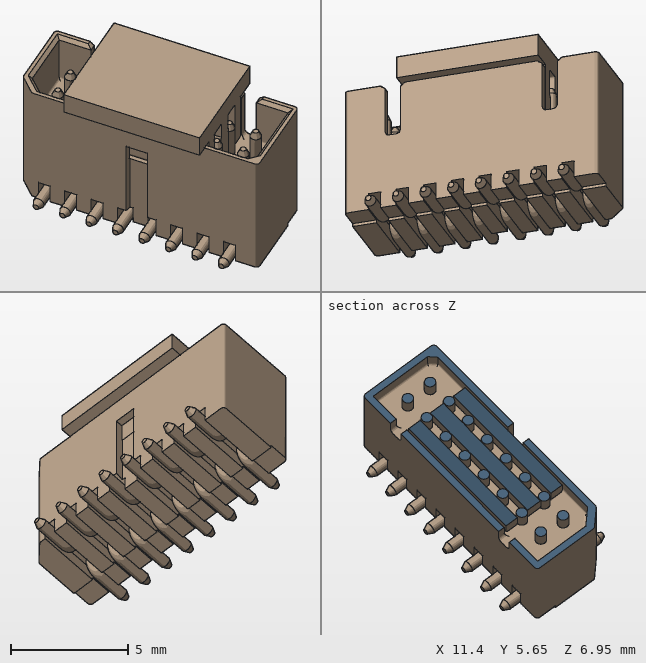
import cadquery as cq
import math

housing_length = 11.45
housing_depth = 4.01
housing_height = 5.95
total_height = 6.95
floor_height = 3.55

polarity_chamfer = 0.78
corner_radius = 0.17

wall = 0.33
lead_in = 0.16
cavity_left_chamfer = 0.66
cavity_right_chamfer = 0.31
cavity_floor_radius = 0.14

key_offset = 3.55
key_width = 0.69
key_lead_in = 0.21
key_floor_radius = 0.21

window_width = 1.0
window_height = 4.59
window_depth = 0.37

underside_step_depth = 1.03
underside_step_height = 0.14

pin_columns = 8
pin_pitch = 1.25
pin_diameter = 0.5
pin_tip_diameter = 0.25
pin_tip_length = 0.27
pin_top = 5.21
pin_span = 5.65
pin_bend_radius = 0.5

tunnel_width = 0.55
tunnel_roof = 0.68
tunnel_mouth_height = 0.89
tunnel_mouth_depth = 0.78

cap_length = 6.4
cap_width = 5.02
cap_block_width = 3.17
cap_block_bottom = 3.66
cap_bottom_radius = 0.15

channel_roof = housing_height
channel_roof_radius = 0.1
channel_inner = 0.32
channel_outer = 1.03
grip_inner = 0.37
grip_outer = 0.93
inner_shoulder = 5.08
inner_shoulder_radius = 0.11
outer_shoulder = 4.7

half_length = housing_length / 2
half_depth = housing_depth / 2
pin_radius = pin_diameter / 2
pin_tip_radius = pin_tip_diameter / 2
row_offset = pin_pitch / 2
pin_columns_x = [pin_pitch * (i - (pin_columns - 1) / 2) for i in range(pin_columns)]


def chamfered_outline(inset, left_chamfer, right_chamfer):
    """Points of the housing rectangle set inwards, with its two -Y corners cut at 45 degrees."""
    x = half_length - inset
    y = half_depth - inset
    points = [(-x, y), (-x, -y + left_chamfer), (-x + left_chamfer, -y)]
    if right_chamfer > 0:
        points += [(x - right_chamfer, -y), (x, -y + right_chamfer)]
    else:
        points += [(x, -y)]
    return points + [(x, y)]


def make_outer_block():
    outline = chamfered_outline(0, polarity_chamfer, 0)
    block = cq.Workplane("XY").polyline(outline).close().extrude(housing_height)
    return block.edges("|Z").fillet(corner_radius)


def make_cavity():
    """Cavity with a rounded floor edge and a 45 degree lead-in at the rim."""
    outline = chamfered_outline(wall, cavity_left_chamfer, cavity_right_chamfer)
    cavity = (
        cq.Workplane("XY", origin=(0, 0, floor_height))
        .polyline(outline)
        .close()
        .extrude(housing_height - floor_height)
        .faces("<Z")
        .edges()
        .fillet(cavity_floor_radius)
    )
    chamfer_growth = lead_in * (2 - math.sqrt(2))
    rim_outline = chamfered_outline(
        wall - lead_in,
        cavity_left_chamfer + chamfer_growth,
        cavity_right_chamfer + chamfer_growth,
    )
    funnel = (
        cq.Workplane("XY", origin=(0, 0, housing_height - lead_in))
        .polyline(outline)
        .close()
        .workplane(offset=lead_in)
        .polyline(rim_outline)
        .close()
        .loft(ruled=True)
    )
    return cavity.union(funnel)


def make_key_notch(center_x):
    """Notch through the +Y wall, flared at the rim and rounded at the floor."""
    half_width = key_width / 2
    flare = half_width + key_lead_in
    profile = [
        (-half_width, floor_height),
        (half_width, floor_height),
        (half_width, housing_height - lead_in),
        (flare, housing_height),
        (-flare, housing_height),
        (-half_width, housing_height - lead_in),
    ]
    cut_depth = wall + cavity_floor_radius
    return (
        cq.Workplane("XZ", origin=(center_x, half_depth, 0))
        .polyline(profile)
        .close()
        .extrude(cut_depth)
        .edges("|Y and <Z")
        .fillet(key_floor_radius)
    )


def make_pin_tunnel(center_x):
    """Tunnel across the underside with a roof that rises towards both mouths."""
    inner = half_depth - tunnel_mouth_depth
    profile = [
        (-half_depth, 0),
        (-half_depth, tunnel_mouth_height),
        (-inner, tunnel_roof),
        (inner, tunnel_roof),
        (half_depth, tunnel_mouth_height),
        (half_depth, 0),
    ]
    return (
        cq.Workplane("YZ", origin=(center_x - tunnel_width / 2, 0, 0))
        .polyline(profile)
        .close()
        .extrude(tunnel_width)
    )


def make_window_groove():
    return (
        cq.Workplane("XY")
        .box(window_width, window_depth, window_height, centered=(True, False, False))
        .translate((0, -half_depth, 0))
    )


def make_underside_step():
    return (
        cq.Workplane("XY")
        .box(housing_length, underside_step_depth, underside_step_height, centered=(True, False, False))
        .translate((0, half_depth - underside_step_depth, 0))
    )


def make_pointed_rod(length):
    """Rod along +Z from the origin, with a conical tip."""
    profile = [
        (0, 0),
        (pin_radius, 0),
        (pin_radius, length - pin_tip_length),
        (pin_tip_radius, length),
        (0, length),
    ]
    return cq.Workplane("XZ").polyline(profile).close().revolve(360, (0, 0, 0), (0, 1, 0))


def make_pin(center_x):
    """Right-angle pin of the +Y row: a post, a quarter bend and a tail pointing to +Y."""
    bend_top = pin_radius + pin_bend_radius
    bend_end = row_offset + pin_bend_radius
    post = make_pointed_rod(pin_top - bend_top).translate((center_x, row_offset, bend_top))
    tail = (
        make_pointed_rod(pin_span / 2 - bend_end)
        .rotate((0, 0, 0), (1, 0, 0), -90)
        .translate((center_x, bend_end, pin_radius))
    )
    bend = (
        cq.Workplane("XY", origin=(center_x, row_offset, bend_top))
        .circle(pin_radius)
        .revolve(90, (0, pin_bend_radius, 0), (1, pin_bend_radius, 0))
    )
    return post.union(bend).union(tail)


def make_housing():
    """Housing with its moulded-in pins."""
    housing = make_outer_block().cut(make_cavity())
    for side in (-1, 1):
        housing = housing.cut(make_key_notch(side * key_offset))
    housing = housing.cut(make_window_groove()).cut(make_underside_step())
    for x in pin_columns_x:
        housing = housing.cut(make_pin_tunnel(x))
    for x in pin_columns_x:
        pin = make_pin(x)
        housing = housing.union(pin).union(pin.mirror("XZ"))
    return housing


def make_cap_channel():
    """Channel over the +Y pin row: wide above, with shoulders that narrow it to the pin width."""
    arc_drop = inner_shoulder_radius - (grip_inner - channel_inner)
    arc_top = inner_shoulder + math.sqrt(inner_shoulder_radius**2 - arc_drop**2)
    step = channel_outer - grip_outer
    cos45 = math.sqrt(0.5)
    inner_center = grip_inner - inner_shoulder_radius
    half_angle = math.acos(arc_drop / inner_shoulder_radius) / 2
    inner_middle = (
        inner_center + inner_shoulder_radius * math.cos(half_angle),
        inner_shoulder + inner_shoulder_radius * math.sin(half_angle),
    )
    outer_middle = (grip_outer + step * cos45, outer_shoulder + step * (1 - cos45))
    return (
        cq.Workplane("YZ", origin=(-cap_length / 2, 0, 0))
        .moveTo(grip_inner, cap_block_bottom)
        .lineTo(grip_inner, inner_shoulder)
        .threePointArc(inner_middle, (channel_inner, arc_top))
        .lineTo(channel_inner, channel_roof)
        .lineTo(channel_outer, channel_roof)
        .lineTo(channel_outer, outer_shoulder + step)
        .threePointArc(outer_middle, (grip_outer, outer_shoulder))
        .lineTo(grip_outer, cap_block_bottom)
        .close()
        .extrude(cap_length)
        .faces(">Z")
        .edges("|X")
        .fillet(channel_roof_radius)
    )


def make_cap():
    """Flat pick-up plate on a block that reaches into the cavity around the pins."""
    base_at_origin = (True, True, False)
    plate = (
        cq.Workplane("XY", origin=(0, 0, housing_height))
        .box(cap_length, cap_width, total_height - housing_height, centered=base_at_origin)
    )
    block = (
        cq.Workplane("XY", origin=(0, 0, cap_block_bottom))
        .box(cap_length, cap_block_width, housing_height - cap_block_bottom, centered=base_at_origin)
        .faces("<Z")
        .edges("|X")
        .fillet(cap_bottom_radius)
    )
    channel = make_cap_channel()
    return plate.union(block).cut(channel).cut(channel.mirror("XZ"))


housing = make_housing()
cap = make_cap()
result = cq.Compound.makeCompound([housing.val(), cap.val()])